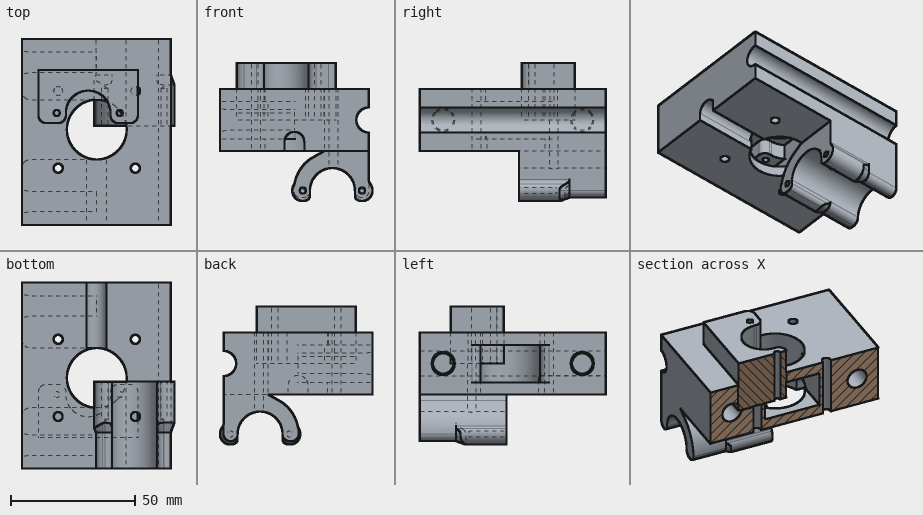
import cadquery as cq
import math


BLOCK_X = 60.0
BLOCK_Y = 75.0
BLOCK_Z = 25.0
MID_Z = BLOCK_Z / 2
RIGHT_X = BLOCK_X / 2
BACK_Y = BLOCK_Y / 2

MOTOR_X = 0.15
MOTOR_Y = 1.0
MOTOR_RADIUS = 12.0
SCREW_OFFSET = 15.5
SCREW_DIAMETER = 3.6
WINDOW_BOTTOM = 4.9
WINDOW_HEIGHT = 15.0
WINDOW_MOUTH_RADIUS = 3.5

SOCKET_Y = 28.0
SOCKET_MOUTH_RADIUS = 4.65
SOCKET_RADIUS = 4.1
SOCKET_TAPER_DEPTH = 3.0
SOCKET_DEPTH = 30.0

GROOVE_RADIUS = 5.0
CHANNEL_RADIUS = 4.0
CHANNEL_SPRING_Z = 3.75

ARCH_X = 15.3
ARCH_Z = -15.9
ARCH_RADIUS = 9.0
ARCH_OUTER_RADIUS = 15.5
SHOULDER_ANGLE = math.radians(29)
BRACKET_FRONT_Y = 2.5
RIGHT_LEG_REACH = RIGHT_X - ARCH_X
LEG_DROP = 2.85
LEG_CORNER_RADIUS = 2.8
BOSS_OFFSET = 11.9
BOSS_RADIUS = 4.3
BOSS_BACK_Y = 22.9
BOSS_BACK_TAPER = 20.0
BOSS_BLEND_RADIUS = 3.0
BOSS_INNER_FILLET = 2.25
BOSS_HOLE_DIAMETER = 2.5
BOSS_HOLE_DEPTH = 15.0
DRILL_POINT_ANGLE = math.radians(59)

CLAMP_X = -3.3
CLAMP_Y = 7.65
CLAMP_WIDTH = 40.0
CLAMP_FRONT = 4.05
CLAMP_BACK = 17.3
CLAMP_TOP = 35.5
CLAMP_BORE_RADIUS = 9.0
CLAMP_CORNER_RADIUS = 3.0
CLAMP_HOLE_OFFSET = 12.7
CLAMP_HOLE_DIAMETER = 2.5


def clamp_body():
    """Extruded clamp with its open bore, without screw holes."""
    half_width = CLAMP_WIDTH / 2
    return (
        cq.Workplane("XY", origin=(CLAMP_X, CLAMP_Y, MID_Z))
        .moveTo(-half_width, -CLAMP_FRONT)
        .lineTo(-CLAMP_BORE_RADIUS, -CLAMP_FRONT)
        .lineTo(-CLAMP_BORE_RADIUS, 0)
        .threePointArc((0, CLAMP_BORE_RADIUS), (CLAMP_BORE_RADIUS, 0))
        .lineTo(CLAMP_BORE_RADIUS, -CLAMP_FRONT)
        .lineTo(half_width, -CLAMP_FRONT)
        .lineTo(half_width, CLAMP_BACK)
        .lineTo(-half_width, CLAMP_BACK)
        .close()
        .extrude(CLAMP_TOP - MID_Z)
        .edges("|Z and <Y")
        .fillet(CLAMP_CORNER_RADIUS)
    )


def make_clamp():
    """Clamp insert with a screw hole through each leg."""
    holes = (
        cq.Workplane("XY", origin=(CLAMP_X, CLAMP_Y, MID_Z))
        .pushPoints([(-CLAMP_HOLE_OFFSET, 0), (CLAMP_HOLE_OFFSET, 0)])
        .circle(CLAMP_HOLE_DIAMETER / 2)
        .extrude(CLAMP_TOP - MID_Z)
    )
    return clamp_body().cut(holes)


def motor_opening_cutter():
    """Vertical motor opening through the block."""
    return (
        cq.Workplane("XY", origin=(MOTOR_X, MOTOR_Y, 0))
        .circle(MOTOR_RADIUS)
        .extrude(BLOCK_Z)
    )


def motor_screw_cutter():
    """Four motor screw holes, deep enough to pass through the bracket as well."""
    return (
        cq.Workplane("XY", origin=(MOTOR_X, MOTOR_Y, BLOCK_Z))
        .rect(2 * SCREW_OFFSET, 2 * SCREW_OFFSET, forConstruction=True)
        .vertices()
        .circle(SCREW_DIAMETER / 2)
        .extrude(ARCH_Z - BLOCK_Z)
    )


def window_cutter():
    """Window from the -X side to the motor opening, its mouth flared by a round on each flank."""
    mouth = MOTOR_RADIUS + WINDOW_MOUTH_RADIUS
    side_x = -RIGHT_X - MOTOR_X
    bend_x = side_x + WINDOW_MOUTH_RADIUS
    return (
        cq.Workplane("XY", origin=(MOTOR_X, MOTOR_Y, WINDOW_BOTTOM))
        .moveTo(0, -MOTOR_RADIUS)
        .lineTo(0, MOTOR_RADIUS)
        .lineTo(bend_x, MOTOR_RADIUS)
        .radiusArc((side_x, mouth), WINDOW_MOUTH_RADIUS)
        .lineTo(side_x, -mouth)
        .radiusArc((bend_x, -MOTOR_RADIUS), WINDOW_MOUTH_RADIUS)
        .close()
        .extrude(WINDOW_HEIGHT)
    )


def socket_cutter(y):
    """Blind rod socket with a tapered lead-in."""
    return (
        cq.Workplane("XY", origin=(-RIGHT_X, y, MID_Z))
        .moveTo(0, 0)
        .lineTo(0, SOCKET_MOUTH_RADIUS)
        .lineTo(SOCKET_TAPER_DEPTH, SOCKET_RADIUS)
        .lineTo(SOCKET_DEPTH, SOCKET_RADIUS)
        .lineTo(SOCKET_DEPTH, 0)
        .close()
        .revolve(360, (0, 0, 0), (1, 0, 0))
    )


def groove_cutter():
    """Half-round groove along the whole +X side."""
    return (
        cq.Workplane("XZ", origin=(RIGHT_X, BACK_Y, MID_Z))
        .circle(GROOVE_RADIUS)
        .extrude(BLOCK_Y)
    )


def channel_cutter():
    """Round-topped channel in the underside, from the front face to the motor opening."""
    return (
        cq.Workplane("XZ", origin=(0, MOTOR_Y, 0))
        .moveTo(-CHANNEL_RADIUS, 0)
        .lineTo(-CHANNEL_RADIUS, CHANNEL_SPRING_Z)
        .threePointArc((0, CHANNEL_SPRING_Z + CHANNEL_RADIUS), (CHANNEL_RADIUS, CHANNEL_SPRING_Z))
        .lineTo(CHANNEL_RADIUS, 0)
        .close()
        .extrude(BACK_Y + MOTOR_Y)
    )


def bracket_arch():
    """Arch with round-cornered leg ends, flush with the back and the +X side of the block."""
    shoulder_x = -ARCH_OUTER_RADIUS * math.sin(SHOULDER_ANGLE)
    shoulder_z = ARCH_OUTER_RADIUS * math.cos(SHOULDER_ANGLE)
    block_z = -ARCH_Z
    top_x = shoulder_x + (block_z - shoulder_z) / math.tan(SHOULDER_ANGLE)
    arc_angle = (math.pi / 2 + SHOULDER_ANGLE) / 2
    arc_middle = (-ARCH_OUTER_RADIUS * math.sin(arc_angle), ARCH_OUTER_RADIUS * math.cos(arc_angle))
    return (
        cq.Workplane("XZ", origin=(ARCH_X, BACK_Y, ARCH_Z))
        .moveTo(-ARCH_RADIUS, -LEG_DROP)
        .lineTo(-ARCH_RADIUS, 0)
        .threePointArc((0, ARCH_RADIUS), (ARCH_RADIUS, 0))
        .lineTo(ARCH_RADIUS, -LEG_DROP)
        .lineTo(RIGHT_LEG_REACH, -LEG_DROP)
        .lineTo(RIGHT_LEG_REACH, block_z)
        .lineTo(top_x, block_z)
        .lineTo(shoulder_x, shoulder_z)
        .threePointArc(arc_middle, (-ARCH_OUTER_RADIUS, 0))
        .lineTo(-ARCH_OUTER_RADIUS, -LEG_DROP)
        .close()
        .extrude(BACK_Y - BRACKET_FRONT_Y)
        .edges("|Y and <Z")
        .fillet(LEG_CORNER_RADIUS)
    )


def blend_arc_center(side):
    """Centre of the concave blend from boss to leg, measured outward and up from the arch centre.

    The left blend touches the outer arc of the arch; the right one touches the flat +X side.
    """
    boss_reach = BOSS_RADIUS + BOSS_BLEND_RADIUS
    if side < 0:
        arch_reach = ARCH_OUTER_RADIUS + BOSS_BLEND_RADIUS
        outward = (arch_reach ** 2 - boss_reach ** 2 + BOSS_OFFSET ** 2) / (2 * BOSS_OFFSET)
    else:
        outward = RIGHT_LEG_REACH + BOSS_BLEND_RADIUS
    return outward, math.sqrt(boss_reach ** 2 - (outward - BOSS_OFFSET) ** 2)


def boss_outline(side):
    """Full-length boss: a circle cut flat along the bore and blended into the leg above it."""
    blend_x, blend_z = blend_arc_center(side)
    boss_share = BOSS_RADIUS / (BOSS_RADIUS + BOSS_BLEND_RADIUS)
    boss_touch = (BOSS_OFFSET + boss_share * (blend_x - BOSS_OFFSET), boss_share * blend_z)
    if side < 0:
        arch_share = ARCH_OUTER_RADIUS / (ARCH_OUTER_RADIUS + BOSS_BLEND_RADIUS)
        leg_touch = (arch_share * blend_x, arch_share * blend_z)
    else:
        leg_touch = (RIGHT_LEG_REACH, blend_z)
    inner_z = -math.sqrt(BOSS_RADIUS ** 2 - (BOSS_OFFSET - ARCH_RADIUS) ** 2)

    outline = (
        cq.Workplane("XZ", origin=(0, BOSS_BACK_Y, 0))
        .moveTo(ARCH_RADIUS, leg_touch[1])
        .lineTo(ARCH_RADIUS, inner_z)
        .threePointArc((BOSS_OFFSET + BOSS_RADIUS, 0), boss_touch)
        .radiusArc(leg_touch, BOSS_BLEND_RADIUS)
        .close()
        .extrude(BOSS_BACK_Y - BRACKET_FRONT_Y)
    )
    inner_corner = cq.selectors.NearestToPointSelector((ARCH_RADIUS, BOSS_BACK_Y / 2, inner_z))
    outline = outline.edges("|Y").edges(inner_corner).fillet(BOSS_INNER_FILLET)
    if side < 0:
        outline = outline.mirror("YZ")
    return outline.translate((ARCH_X, 0, ARCH_Z))


def boss_envelope(side, leg_reach):
    """Leg end outline that starts at the back of the boss and widens toward the front."""
    leg_width = leg_reach - ARCH_RADIUS
    leg_top = blend_arc_center(side)[1]
    return (
        cq.Workplane("XZ", origin=(ARCH_X, BOSS_BACK_Y, ARCH_Z))
        .center(side * (ARCH_RADIUS + leg_width / 2), (leg_top - LEG_DROP) / 2)
        .sketch()
        .rect(leg_width, leg_top + LEG_DROP)
        .vertices("<Y")
        .fillet(LEG_CORNER_RADIUS)
        .finalize()
        .extrude(BOSS_BACK_Y - BRACKET_FRONT_Y, taper=-BOSS_BACK_TAPER)
    )


def boss_hole(side):
    """Blind screw hole with a drill point, bored from the front of a boss."""
    radius = BOSS_HOLE_DIAMETER / 2
    tip = BOSS_HOLE_DEPTH + radius / math.tan(DRILL_POINT_ANGLE)
    return (
        cq.Workplane("XY", origin=(ARCH_X + side * BOSS_OFFSET, BRACKET_FRONT_Y, ARCH_Z))
        .moveTo(0, 0)
        .lineTo(radius, 0)
        .lineTo(radius, BOSS_HOLE_DEPTH)
        .lineTo(0, tip)
        .close()
        .revolve(360, (0, 0, 0), (0, 1, 0))
    )


def make_housing():
    """Block with its bracket, openings and the recess for the clamp insert."""
    housing = cq.Workplane("XY").box(BLOCK_X, BLOCK_Y, BLOCK_Z, centered=(True, True, False))
    housing = housing.union(bracket_arch())
    for side, leg_reach in ((-1, ARCH_OUTER_RADIUS), (1, RIGHT_LEG_REACH)):
        boss = boss_outline(side).intersect(boss_envelope(side, leg_reach))
        housing = housing.union(boss)
        housing = housing.cut(boss_hole(side))

    cutters = (
        motor_opening_cutter(),
        motor_screw_cutter(),
        window_cutter(),
        groove_cutter(),
        channel_cutter(),
        clamp_body(),
    )
    for cutter in cutters:
        housing = housing.cut(cutter)
    for side in (-1, 1):
        housing = housing.cut(socket_cutter(side * SOCKET_Y))
    return housing


housing = make_housing()
clamp = make_clamp()
result = cq.Compound.makeCompound([housing.val(), clamp.val()])